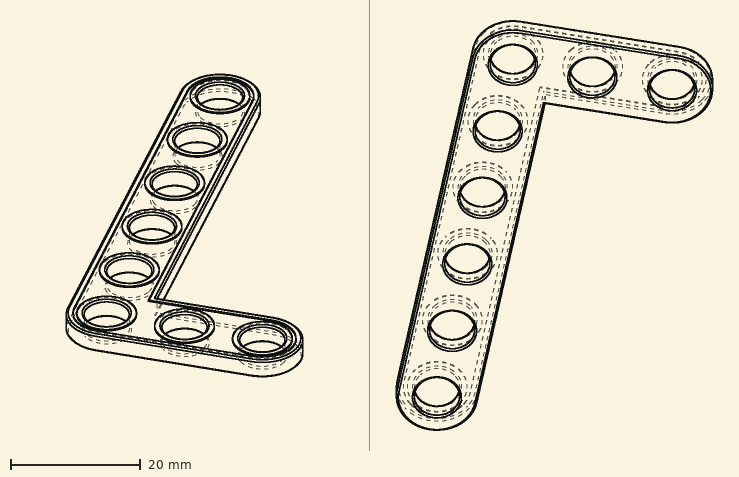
import cadquery as cq

total_length = 75.0
long_arm_holes = 6
short_arm_holes = 3
thickness = 3.15
hole_diameter = 7.0
collar_diameter = 9.2
rim_width = 1.05
recess_depth = 0.21
edge_chamfer = 0.3

pitch = total_length / long_arm_holes
arm_radius = pitch / 2
long_reach = (long_arm_holes - 1) * pitch
short_reach = (short_arm_holes - 1) * pitch

corner_x = -short_reach / 2
corner_y = -long_reach / 2

long_arm_points = [(corner_x, corner_y + i * pitch) for i in range(long_arm_holes)]
short_arm_points = [(corner_x + i * pitch, corner_y) for i in range(1, short_arm_holes)]
hole_points = long_arm_points + short_arm_points


def l_outline(inset, base_z):
    """Closed L outline, moved inward from the outer edge by inset."""
    radius = arm_radius - inset
    diagonal = radius * 0.5**0.5
    end_x = corner_x + short_reach
    end_y = corner_y + long_reach
    return (
        cq.Workplane("XY", origin=(0, 0, base_z))
        .moveTo(corner_x, corner_y - radius)
        .lineTo(end_x, corner_y - radius)
        .threePointArc((end_x + radius, corner_y), (end_x, corner_y + radius))
        .lineTo(corner_x + radius, corner_y + radius)
        .lineTo(corner_x + radius, end_y)
        .threePointArc((corner_x, end_y + radius), (corner_x - radius, end_y))
        .lineTo(corner_x - radius, corner_y)
        .threePointArc((corner_x - diagonal, corner_y - diagonal), (corner_x, corner_y - radius))
        .close()
    )


def discs(diameter, base_z, height):
    """One cylinder at every hole position."""
    return (
        cq.Workplane("XY", origin=(0, 0, base_z))
        .pushPoints(hole_points)
        .circle(diameter / 2)
        .extrude(height)
    )


plate = l_outline(0, 0).extrude(thickness).faces("<Z or >Z").chamfer(edge_chamfer)

hole_mouths = cq.selectors.RadiusNthSelector(0)
plate = plate.cut(discs(hole_diameter, 0, thickness))
plate = plate.faces("<Z or >Z").edges("%CIRCLE").edges(hole_mouths).chamfer(edge_chamfer)

floor_z = thickness - recess_depth
recess = l_outline(rim_width, floor_z).extrude(recess_depth)
recess = recess.cut(discs(collar_diameter, floor_z, recess_depth))

result = plate.cut(recess)